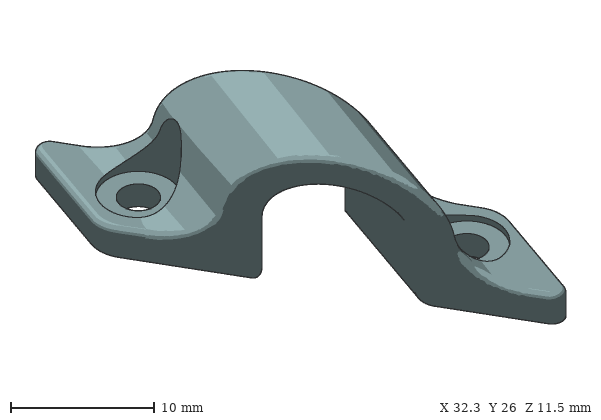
import cadquery as cq
import math

LENGTH_Y = 26.0
STRIP_WIDTH = 9.0
SLANT_ANGLE = 48.8
SHARP_CORNER_RADIUS = 1.0
BLUNT_CORNER_RADIUS = 3.0

FLANGE_THICKNESS = 2.5
CHANNEL_RADIUS = 4.0
ARCH_WALL = 2.5
ARCH_CENTER_Y = 0.15
ARCH_CENTER_Z = 5.0
ARCH_RADIUS = CHANNEL_RADIUS + ARCH_WALL
BLEND_RADIUS = 4.0
CHANNEL_MOUTH_RADIUS = 1.0

EDGE_RADIUS = 0.5

HOLE_X = 7.75
HOLE_Y = 8.95
HOLE_DIAMETER = 3.1
SEAT_DIAMETER = 6.0
SEAT_DEPTH = 0.5

HALF_Y = LENGTH_Y / 2
SLANT = math.radians(SLANT_ANGLE)
HALF_WIDTH_X = STRIP_WIDTH / 2 / math.sin(SLANT)
SHIFT_X = HALF_Y / math.tan(SLANT)
EXTRUDE_X = 2 * (HALF_WIDTH_X + SHIFT_X)
SEAT_Z = FLANGE_THICKNESS - SEAT_DEPTH
TOP_Z = ARCH_CENTER_Z + ARCH_RADIUS


def extrude_along_x(sketch):
    return sketch.extrude(EXTRUDE_X / 2, both=True)


def saddle_section():
    """Arch and flanges, with the blends tangent to both, extruded along X."""
    blend_z = FLANGE_THICKNESS + BLEND_RADIUS
    center_distance = ARCH_RADIUS + BLEND_RADIUS
    blend_rise = blend_z - ARCH_CENTER_Z
    blend_y = math.sqrt(center_distance**2 - blend_rise**2)
    share = ARCH_RADIUS / center_distance
    join_y = blend_y * share
    join_z = ARCH_CENTER_Z + blend_rise * share
    wall_y = ARCH_CENTER_Y + CHANNEL_RADIUS
    opposite_wall_y = ARCH_CENTER_Y - CHANNEL_RADIUS
    channel_top_z = ARCH_CENTER_Z + CHANNEL_RADIUS
    sketch = (
        cq.Workplane("YZ")
        .moveTo(-HALF_Y, 0)
        .lineTo(-HALF_Y, FLANGE_THICKNESS)
        .lineTo(ARCH_CENTER_Y - blend_y, FLANGE_THICKNESS)
        .radiusArc((ARCH_CENTER_Y - join_y, join_z), -BLEND_RADIUS)
        .threePointArc((ARCH_CENTER_Y, TOP_Z), (ARCH_CENTER_Y + join_y, join_z))
        .radiusArc((ARCH_CENTER_Y + blend_y, FLANGE_THICKNESS), -BLEND_RADIUS)
        .lineTo(HALF_Y, FLANGE_THICKNESS)
        .lineTo(HALF_Y, 0)
        .lineTo(wall_y, 0)
        .lineTo(wall_y, ARCH_CENTER_Z)
        .threePointArc((ARCH_CENTER_Y, channel_top_z), (opposite_wall_y, ARCH_CENTER_Z))
        .lineTo(opposite_wall_y, 0)
        .close()
    )
    return extrude_along_x(sketch)


def slanted_strip():
    """Parallelogram prism with rounded corners that bounds the body in plan."""
    sharp_x = SHIFT_X + HALF_WIDTH_X
    blunt_x = SHIFT_X - HALF_WIDTH_X
    corners = [(-sharp_x, -HALF_Y), (-blunt_x, -HALF_Y), (sharp_x, HALF_Y), (blunt_x, HALF_Y)]
    prism = cq.Workplane("XY").polyline(corners).close().extrude(TOP_Z)
    for side in (-1, 1):
        sharp_corner = cq.NearestToPointSelector((side * sharp_x, side * HALF_Y, TOP_Z / 2))
        prism = prism.edges(sharp_corner).fillet(SHARP_CORNER_RADIUS)
        blunt_corner = cq.NearestToPointSelector((side * blunt_x, side * HALF_Y, TOP_Z / 2))
        prism = prism.edges(blunt_corner).fillet(BLUNT_CORNER_RADIUS)
    return prism


def round_edges(body):
    """Round the outer top rim and both channel ends; each picked edge carries its tangent chain."""
    roof_centroid_z = ARCH_CENTER_Z + 2 * CHANNEL_RADIUS / math.pi
    top_rim = cq.NearestToPointSelector((SHIFT_X, HALF_Y, FLANGE_THICKNESS))
    body = body.edges(top_rim).fillet(EDGE_RADIUS)
    for side in (-1, 1):
        channel_end = cq.NearestToPointSelector((side * HALF_WIDTH_X, ARCH_CENTER_Y, roof_centroid_z))
        body = body.edges(channel_end).fillet(EDGE_RADIUS)
    return body


def channel_mouth_cutter(side):
    """Waste between a channel wall, the underside and the round that joins them."""
    wall_y = ARCH_CENTER_Y + side * CHANNEL_RADIUS
    sketch = (
        cq.Workplane("YZ")
        .moveTo(wall_y, 0)
        .lineTo(wall_y, CHANNEL_MOUTH_RADIUS)
        .radiusArc((wall_y + side * CHANNEL_MOUTH_RADIUS, 0), -side * CHANNEL_MOUTH_RADIUS)
        .close()
    )
    return extrude_along_x(sketch)


def screw_hole_cutter(side):
    """Through hole with a flat head seat sunk slightly into the flange."""
    place = (side * HOLE_X, ARCH_CENTER_Y + side * HOLE_Y)
    hole = cq.Workplane("XY").center(*place).circle(HOLE_DIAMETER / 2).extrude(TOP_Z)
    seat = (
        cq.Workplane("XY")
        .workplane(offset=SEAT_Z)
        .center(*place)
        .circle(SEAT_DIAMETER / 2)
        .extrude(TOP_Z - SEAT_Z)
    )
    return hole.union(seat)


body = round_edges(saddle_section().intersect(slanted_strip()))
for side in (-1, 1):
    body = body.cut(channel_mouth_cutter(side))
    body = body.cut(screw_hole_cutter(side))

result = body